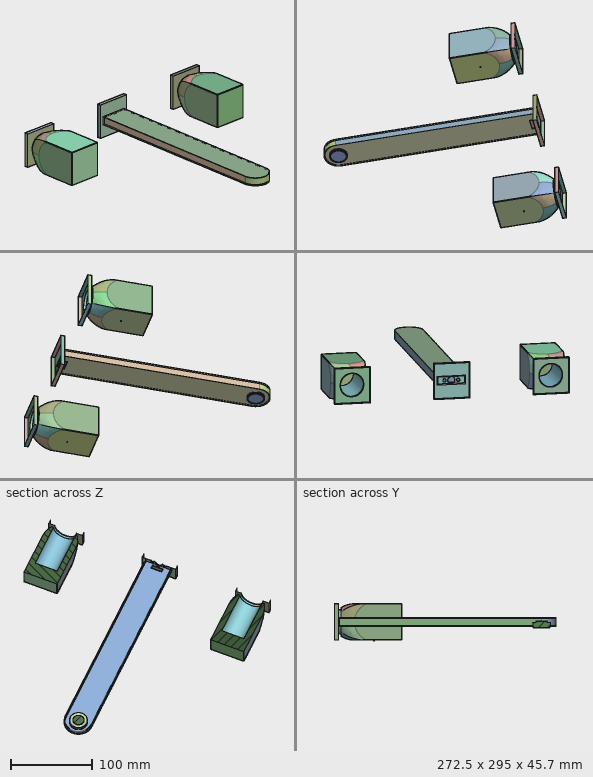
import cadquery as cq
import math

plate_size = 45.0
plate_thickness = 5.0
plate_wall = 0.2
plate_floor = 0.25
plate_recess = plate_thickness - plate_floor

overall_length = 272.5
spout_width = 35.5
spout_height = 11.0
spout_wall = 1.25
tip_radius = spout_width / 2
tip_center_x = overall_length - tip_radius
inlet_diameter = 9.0
side_inlet_diameter = 4.0
side_inlet_offset = 8.6
drain_x = 10.5
drain_width = 4.0
drain_length = 14.0

aerator_flange_diameter = 22.0
aerator_core_diameter = 19.5
aerator_flange_drop = 0.9
aerator_core_drop = 1.8
aerator_flange_top = -0.7
aerator_boss_diameter = 14.0
aerator_boss_top = 0.9

handle_spacing = 125.0
handle_end_x = 82.9
handle_half = plate_size / 2
handle_edge_chamfer = 0.75
neck_diameter = 30.0
neck_overlap = 1.0
bore_diameter = 29.0
bore_depth = 60.0
stud_diameter = 1.2
stud_x = 48.6
stud_drop = 0.71
stud_root = 1.0

dome_start_x = 8.1
dome_start_radius = 17.7
flat_start_x = 24.7
flat_arc_radius = 24.4
corner_x = flat_start_x + flat_arc_radius - math.sqrt(flat_arc_radius**2 - handle_half**2)


def make_plate():
    plate = cq.Workplane("YZ").rect(plate_size, plate_size).extrude(plate_thickness)
    opening = plate_size - 2 * plate_wall
    return plate.cut(cq.Workplane("YZ").rect(opening, opening).extrude(plate_recess))


def bar(inset, start_x):
    """A bar along X with a half-round tip, inset from the outside of the spout on all sides."""
    half_width = tip_radius - inset
    height = spout_height - 2 * inset
    return (
        cq.Workplane("XY", origin=(0, 0, -height / 2))
        .moveTo(start_x, -half_width)
        .lineTo(tip_center_x, -half_width)
        .threePointArc((tip_center_x + half_width, 0), (tip_center_x, half_width))
        .lineTo(start_x, half_width)
        .close()
        .extrude(height)
    )


def disc(x, y, diameter, bottom, top):
    return cq.Workplane("XY", origin=(x, y, bottom)).circle(diameter / 2).extrude(top - bottom)


def make_spout():
    spout = make_plate().union(bar(0, plate_recess))
    spout = spout.cut(bar(spout_wall, plate_recess + spout_wall))

    for y, diameter in (
        (-side_inlet_offset, side_inlet_diameter),
        (0, inlet_diameter),
        (side_inlet_offset, side_inlet_diameter),
    ):
        inlet = cq.Workplane("YZ").center(y, 0).circle(diameter / 2)
        spout = spout.cut(inlet.extrude(plate_thickness + 2 * spout_wall))

    underside = -spout_height / 2
    drain = cq.Workplane("XY", origin=(drain_x, 0, underside)).rect(drain_width, drain_length)
    spout = spout.cut(drain.extrude(spout_wall))

    flange = disc(
        tip_center_x, 0, aerator_flange_diameter, underside - aerator_flange_drop, aerator_flange_top
    )
    core = disc(tip_center_x, 0, aerator_core_diameter, underside - aerator_core_drop, aerator_flange_top)
    boss = disc(tip_center_x, 0, aerator_boss_diameter, aerator_flange_top, aerator_boss_top)
    return spout.union(flange).union(core).union(boss)


def tangent_arc_middle(start_height, end_x, end_height):
    """Middle point of the arc from the dome's start that ends parallel to X at (end_x, end_height)."""
    run = end_x - dome_start_x
    rise = end_height - start_height
    radius = (run**2 + rise**2) / (2 * rise)
    half_sweep = math.asin(run / radius) / 2
    return end_x - radius * math.sin(half_sweep), end_height - radius * (1 - math.cos(half_sweep))


def head_eighth():
    """Faces of the head between +Z and the diagonal toward +Y +Z, open where the next eighths join."""
    sine = math.sin(math.pi / 4)

    start_center = cq.Vector(dome_start_x, 0, 0)
    circle_top = cq.Vector(dome_start_x, 0, dome_start_radius)
    circle_corner = cq.Vector(dome_start_x, dome_start_radius * sine, dome_start_radius * sine)
    flat_top = cq.Vector(flat_start_x, 0, handle_half)
    flat_corner = cq.Vector(corner_x, handle_half, handle_half)
    end_center = cq.Vector(handle_end_x, 0, 0)
    end_top = cq.Vector(handle_end_x, 0, handle_half)
    end_corner = cq.Vector(handle_end_x, handle_half, handle_half)

    circle_middle = cq.Vector(
        dome_start_x,
        dome_start_radius * math.sin(math.pi / 8),
        dome_start_radius * math.cos(math.pi / 8),
    )
    half_turn = math.asin(handle_half / flat_arc_radius) / 2
    flat_middle = cq.Vector(
        flat_start_x + flat_arc_radius * (1 - math.cos(half_turn)),
        flat_arc_radius * math.sin(half_turn),
        handle_half,
    )
    x, height = tangent_arc_middle(dome_start_radius, flat_start_x, handle_half)
    top_middle = cq.Vector(x, 0, height)
    x, height = tangent_arc_middle(dome_start_radius, corner_x, handle_half / sine)
    corner_middle = cq.Vector(x, height * sine, height * sine)

    arc = cq.Edge.makeThreePointArc
    line = cq.Edge.makeLine
    circle_arc = arc(circle_top, circle_middle, circle_corner)
    top_arc = arc(circle_top, top_middle, flat_top)
    corner_arc = arc(circle_corner, corner_middle, flat_corner)
    flat_arc = arc(flat_top, flat_middle, flat_corner)

    dome = cq.Face.makeNSidedSurface([circle_arc, corner_arc, flat_arc, top_arc], [])
    flat = planar_face(
        [flat_arc, line(flat_corner, end_corner), line(end_corner, end_top), line(end_top, flat_top)]
    )
    end = planar_face(
        [line(end_center, end_top), line(end_top, end_corner), line(end_corner, end_center)]
    )
    start = planar_face(
        [line(start_center, circle_top), circle_arc, line(circle_corner, start_center)]
    )
    return [dome, flat, end, start]


def planar_face(edges):
    return cq.Face.makeFromWires(cq.Wire.assembleEdges(edges))


def turned(faces, angle):
    """The faces turned about the X axis."""
    return [face.rotate(cq.Vector(0, 0, 0), cq.Vector(1, 0, 0), angle) for face in faces]


def make_head():
    """The solid square head with its dome, before it is bored."""
    eighth = head_eighth()
    mirrored_eighth = [face.mirror("XZ") for face in eighth]
    faces = []
    for angle in (0, 90, 180, 270):
        faces += turned(eighth + mirrored_eighth, angle)
    head = cq.Workplane(cq.Solid.makeSolid(cq.Shell.makeShell(faces)))

    chamfered_block = (
        cq.Workplane("YZ", origin=(dome_start_x, 0, 0))
        .rect(plate_size, plate_size)
        .extrude(handle_end_x - dome_start_x)
        .edges("|X or >X")
        .chamfer(handle_edge_chamfer)
    )
    return head.intersect(chamfered_block)


def make_handle(y):
    neck = (
        cq.Workplane("YZ", origin=(plate_recess, 0, 0))
        .circle(neck_diameter / 2)
        .extrude(dome_start_x + neck_overlap - plate_recess)
    )
    handle = make_plate().union(neck).union(make_head())
    bore = cq.Workplane("YZ", origin=(plate_recess, 0, 0)).circle(bore_diameter / 2).extrude(bore_depth)
    handle = handle.cut(bore)
    handle = handle.union(disc(stud_x, 0, stud_diameter, -handle_half - stud_drop, stud_root - handle_half))
    return handle.translate((0, y, 0))


spout = make_spout()
handles = [make_handle(side * handle_spacing) for side in (-1, 1)]

result = cq.Compound.makeCompound([spout.val(), *[handle.val() for handle in handles]])